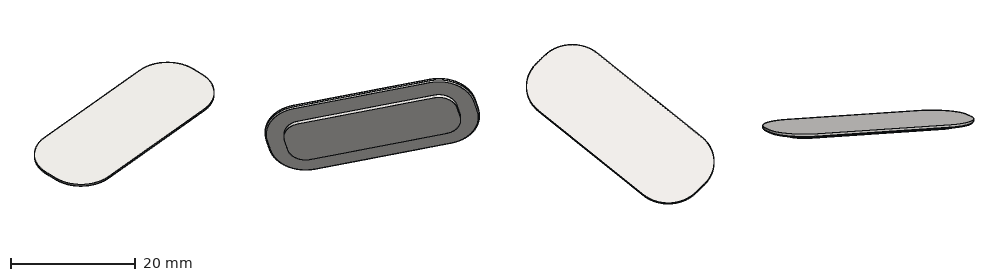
import cadquery as cq

plate_length = 34.55
plate_width = 14.02
plate_thickness = 0.6
plate_corner_radius = 6.0
edge_chamfer = 0.2

pad_inset = 3.0
pad_height = 0.65


def rounded_slab(width, length, corner_radius, thickness, bottom):
    """Rectangular slab with rounded vertical corners, centred on the Z axis."""
    return (
        cq.Workplane("XY", origin=(0, 0, bottom))
        .rect(width, length)
        .extrude(thickness)
        .edges("|Z")
        .fillet(corner_radius)
    )


plate = rounded_slab(plate_width, plate_length, plate_corner_radius, plate_thickness, pad_height)
plate = plate.faces("<Z").chamfer(edge_chamfer)

pad = rounded_slab(
    plate_width - 2 * pad_inset,
    plate_length - 2 * pad_inset,
    plate_corner_radius - pad_inset,
    pad_height,
    0,
)

result = plate.union(pad)